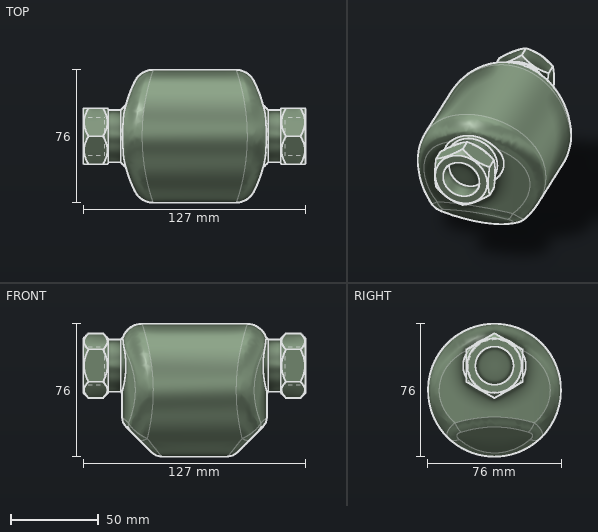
import cadquery as cq
import math


BODY_DIAMETER = 76.0
BODY_HALF_LENGTH = 41.5
END_BULGE_RADIUS = 70.0
END_FILLET = 11.5
SLOPE_FILLET = 8.0
SLOPE_SUM = 60.0

PORT_HEIGHT = 14.0
NECK_DIAMETER = 30.0
FLARE_START = 42.1
FLARE_LENGTH = 6.0

HEX_SIDES = 6
OVERALL_LENGTH = 127.0
HEX_ACROSS_FLATS = 32.0
HEX_LENGTH = 14.3
HEX_FACE_DIAMETER = 31.0
BORE_DIAMETER = 21.8
BORE_DEPTH = 12.0

BODY_RADIUS = BODY_DIAMETER / 2
NECK_RADIUS = NECK_DIAMETER / 2
HALF_LENGTH = OVERALL_LENGTH / 2
HEX_START = HALF_LENGTH - HEX_LENGTH
HEX_CORNER_RADIUS = HEX_ACROSS_FLATS / 2 / math.cos(math.pi / HEX_SIDES)
HEX_CHAMFER = HEX_CORNER_RADIUS - HEX_FACE_DIAMETER / 2


def bulged_prism():
    """Vertical prism whose two ends are arcs bulging outwards along X."""
    bulge_center = BODY_HALF_LENGTH - END_BULGE_RADIUS
    edge_x = bulge_center + math.sqrt(END_BULGE_RADIUS**2 - BODY_RADIUS**2)
    return (
        cq.Workplane("XY", origin=(0, 0, -BODY_RADIUS))
        .moveTo(-edge_x, -BODY_RADIUS)
        .lineTo(edge_x, -BODY_RADIUS)
        .threePointArc((BODY_HALF_LENGTH, 0), (edge_x, BODY_RADIUS))
        .lineTo(-edge_x, BODY_RADIUS)
        .threePointArc((-BODY_HALF_LENGTH, 0), (-edge_x, -BODY_RADIUS))
        .close()
        .extrude(BODY_DIAMETER)
    )


def body_cylinder():
    """Horizontal cylinder along X, as long as the body."""
    return (
        cq.Workplane("YZ", origin=(-BODY_HALF_LENGTH, 0, 0))
        .circle(BODY_RADIUS)
        .extrude(2 * BODY_HALF_LENGTH)
    )


def slope_wedge(side):
    """Wedge below one end (side is -1 or 1) that leaves a 45 degree slope."""
    inner_x = SLOPE_SUM - BODY_RADIUS
    return (
        cq.Workplane("XZ", origin=(0, BODY_RADIUS, 0))
        .moveTo(side * inner_x, -BODY_RADIUS)
        .lineTo(side * SLOPE_SUM, 0)
        .lineTo(side * SLOPE_SUM, -BODY_RADIUS)
        .close()
        .extrude(BODY_DIAMETER)
    )


def body():
    """Bulged cylinder with rounded ends and two rounded lower slopes."""
    blank = body_cylinder().intersect(bulged_prism())
    shape = blank.edges("not |X").fillet(END_FILLET)
    for side in (-1, 1):
        slope_normal = cq.Vector(side, 0, -1)
        shape = shape.cut(slope_wedge(side))
        slope = shape.faces(cq.selectors.ParallelDirSelector(slope_normal))
        shape = slope.edges().fillet(SLOPE_FILLET)
    return shape


def port():
    """Solid neck, flare and chamfered hexagon of the +X side, centred on the X axis."""
    flare_base = FLARE_START - FLARE_LENGTH
    neck = (
        cq.Workplane("XY")
        .moveTo(flare_base, 0)
        .lineTo(flare_base, NECK_RADIUS + FLARE_LENGTH)
        .lineTo(FLARE_START, NECK_RADIUS)
        .lineTo(HEX_START, NECK_RADIUS)
        .lineTo(HEX_START, 0)
        .close()
        .revolve(360, (0, 0, 0), (1, 0, 0))
    )
    prism = (
        cq.Workplane("YZ", origin=(HEX_START, 0, 0))
        .polygon(HEX_SIDES, 2 * HEX_CORNER_RADIUS)
        .extrude(HEX_LENGTH)
        .rotate((0, 0, 0), (1, 0, 0), 90)
    )
    chamfered_round = (
        cq.Workplane("YZ", origin=(HEX_START, 0, 0))
        .circle(HEX_CORNER_RADIUS)
        .extrude(HEX_LENGTH)
        .edges("%CIRCLE")
        .chamfer(HEX_CHAMFER)
    )
    return neck.union(prism.intersect(chamfered_round))


def bore():
    """Blind bore in the +X end."""
    return (
        cq.Workplane("YZ", origin=(HALF_LENGTH - BORE_DEPTH, 0, 0))
        .circle(BORE_DIAMETER / 2)
        .extrude(BORE_DEPTH)
    )


def at_both_ends(shape):
    """Raise a +X feature to the port axis and mirror it to the -X end."""
    raised = shape.translate((0, 0, PORT_HEIGHT))
    return raised.union(raised.mirror("YZ"))


result = body().union(at_both_ends(port())).cut(at_both_ends(bore()))